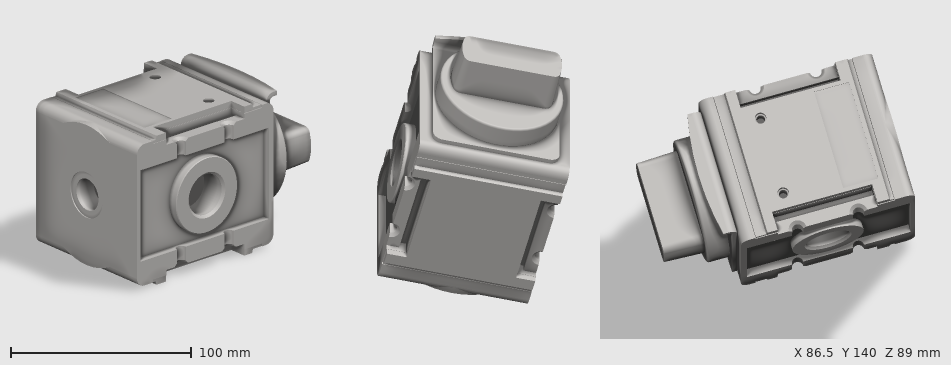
import cadquery as cq


body_width = 85.1
body_length = 100.0
body_half_height = 42.3
corner_radius = 5.3
end_disc_taper = 0.4
half_width = body_width / 2
body_mid_y = body_length / 2

plate_side_inset = 0.4
plate_width = body_width - 2 * plate_side_inset
plate_seat_z = 40.6
plate_top_z = 44.5
seat_front_y = 11.6
seat_back_y = 91.7
seat_clearance = 0.3
rail_front_y = 14.7
rail_back_y = 84.7
rail_lean = 0.7

pocket_front_y = 21.5
pocket_back_y = 78.8
pocket_depth = 11.2
pocket_floor_z = 37.4
pocket_shelf = 7.1
slot_depth = 4.2
slot_floor_z = pocket_floor_z - slot_depth
plate_notch_clearance = 0.1

recess_front_y = 2.5
recess_back_y = 96.7
recess_height = 54.6
recess_depth = 4.5
left_boss_diameter = 41.0
right_boss_diameter = 45.0
right_boss_rise = 1.4
right_boss_chamfer = 0.4
port_diameter = 24.1
port_mouth_diameter = 27.0
port_depth = 16.1

mount_hole_diameter = 6.5
mount_sink_diameter = 10.0
mount_spacing = 35.0
mount_sink_depth = (mount_sink_diameter - mount_hole_diameter) / 2

end_port_diameter = 18.6
end_recess_diameter = 27.0
end_recess_depth = 0.7
end_port_depth = 13.6

screw_diameter = 4.9
screw_sink_diameter = 6.5
screw_sink_depth = 2.4
screw_depth = 8.4
screw_spacing = 45.0
screw_y = 70.0
label_width = 58.0
label_front_y = 17.2
label_back_y = 37.4
label_depth = 0.4

bracket_width = 72.0
bracket_thickness = 2.7
bracket_back_gap = 0.4
bracket_bottom_z = -37.2
bracket_top_z = 44.2
bracket_corner_radius = 5.6
bend_outer_radius = 5.3
bend_inner_radius = bend_outer_radius - bracket_thickness
flange_side_y = 108.2
flange_middle_y = 112.1
bracket_y = body_length + bracket_back_gap

hub_diameter = 34.2
knob_diameter = 70.0
knob_start_y = 104.2
knob_end_y = 117.0
knob_front_round = 0.8
knob_back_round = 1.3
grip_end_y = 140.0
grip_flat_half = 23.5
grip_base_half_length = 29.4
grip_base_half_height = 11.6
grip_base_corner_x = 28.1
grip_base_corner_z = 7.8
grip_tip_half_length = 28.4
grip_tip_half_height = 10.6
grip_tip_corner_x = 27.3
grip_tip_corner_z = 7.3


def box(x_range, y_range, z_range):
    """Axis-aligned box from its lower and upper limits."""
    return (
        cq.Workplane("XY")
        .box(
            x_range[1] - x_range[0],
            y_range[1] - y_range[0],
            z_range[1] - z_range[0],
            centered=False,
        )
        .translate((x_range[0], y_range[0], z_range[0]))
    )


def cylinder_y(diameter, start_y, end_y):
    """Cylinder along +Y on the main axis."""
    length = end_y - start_y
    return cq.Workplane(cq.Solid.makeCylinder(
        diameter / 2, length, cq.Vector(0, start_y, 0), cq.Vector(0, 1, 0)))


def cylinder_x(diameter, start_x, length, direction):
    """Cylinder along +X or -X through the middle of the side faces."""
    return cq.Workplane(cq.Solid.makeCylinder(
        diameter / 2, length, cq.Vector(start_x, body_mid_y, 0), cq.Vector(direction, 0, 0)))


def both_halves(shape):
    """Shape together with its mirror image below the XY plane."""
    return shape.union(shape.mirror("XY"))


def both_sides(shape):
    """Shape together with its mirror image across the YZ plane."""
    return shape.union(shape.mirror("YZ"))


def make_body():
    """Rounded block with a tapered disc flush with the plain end and two plate seats."""
    full_width = (-half_width, half_width)
    block = box(full_width, (0, body_length), (-body_half_height, body_half_height))
    block = block.edges("|X").fillet(corner_radius)
    end_disc = cq.Workplane(cq.Solid.makeCone(
        body_half_height - end_disc_taper,
        body_half_height,
        corner_radius,
        cq.Vector(0, 0, 0),
        cq.Vector(0, 1, 0),
    ))
    seat = box(full_width, (seat_front_y, seat_back_y), (plate_seat_z, plate_top_z))
    return block.union(end_disc).cut(both_halves(seat))


def make_cover_plate():
    """Upper plate with a raised rail that has leaning front and back walls."""
    front_y = seat_front_y + seat_clearance
    back_y = seat_back_y - seat_clearance
    return (
        cq.Workplane("YZ")
        .moveTo(front_y, plate_seat_z)
        .lineTo(front_y, body_half_height)
        .lineTo(rail_front_y - rail_lean, body_half_height)
        .lineTo(rail_front_y, plate_top_z)
        .lineTo(rail_back_y, plate_top_z)
        .lineTo(rail_back_y + rail_lean, body_half_height)
        .lineTo(back_y, body_half_height)
        .lineTo(back_y, plate_seat_z)
        .close()
        .extrude(plate_width / 2, both=True)
    )


def make_side_pocket():
    """Pocket, slot and slightly larger plate notch at the upper edge of the -X face."""
    pocket_y = (pocket_front_y, pocket_back_y)
    inner_x = -half_width + pocket_depth
    pocket = box((-half_width, inner_x), pocket_y, (pocket_floor_z, plate_seat_z))
    slot = box((-half_width + pocket_shelf, inner_x), pocket_y, (slot_floor_z, pocket_floor_z))
    plate_notch = box(
        (-half_width, inner_x + plate_notch_clearance),
        (pocket_front_y - plate_notch_clearance, pocket_back_y + plate_notch_clearance),
        (plate_seat_z, plate_top_z),
    )
    return pocket.union(slot).union(plate_notch)


def make_mounting_holes():
    """Countersunk holes below the pocket of the -X face, reaching the recess."""
    centres = [(-half_width, body_mid_y + side * mount_spacing / 2) for side in (-1, 1)]
    holes = (
        cq.Workplane("XY")
        .pushPoints(centres)
        .circle(mount_hole_diameter / 2)
        .extrude(pocket_floor_z)
    )
    for x, y in centres:
        sink = cq.Solid.makeCone(
            mount_hole_diameter / 2,
            mount_sink_diameter / 2,
            mount_sink_depth,
            cq.Vector(x, y, pocket_floor_z - mount_sink_depth),
        )
        holes = holes.union(cq.Workplane(sink))
    return holes


def make_side_recess():
    return box(
        (-half_width, -half_width + recess_depth),
        (recess_front_y, recess_back_y),
        (-recess_height / 2, recess_height / 2),
    )


def make_port_bosses():
    left = cylinder_x(left_boss_diameter, -half_width, recess_depth, 1)
    right_length = recess_depth + right_boss_rise
    right = cylinder_x(right_boss_diameter, half_width - recess_depth, right_length, 1)
    return left.union(right.faces(">X").chamfer(right_boss_chamfer))


def make_port(face_x, direction):
    """Blind flow port with a chamfered mouth, cut inwards from a boss face."""
    mouth_depth = (port_mouth_diameter - port_diameter) / 2
    mouth = cq.Solid.makeCone(
        port_mouth_diameter / 2,
        port_diameter / 2,
        mouth_depth,
        cq.Vector(face_x, body_mid_y, 0),
        cq.Vector(direction, 0, 0),
    )
    return cylinder_x(port_diameter, face_x, port_depth, direction).union(cq.Workplane(mouth))


def make_end_port():
    shallow_recess = cylinder_y(end_recess_diameter, 0, end_recess_depth)
    return shallow_recess.union(cylinder_y(end_port_diameter, 0, end_port_depth))


def make_top_cuts():
    """Counterbored screw holes and the shallow label recess."""
    label = box(
        (-label_width / 2, label_width / 2),
        (label_front_y, label_back_y),
        (plate_top_z - label_depth, plate_top_z),
    )
    top = cq.Workplane("XY", origin=(0, 0, plate_top_z))
    centres = [(-screw_spacing / 2, screw_y), (screw_spacing / 2, screw_y)]
    sinks = top.pushPoints(centres).circle(screw_sink_diameter / 2).extrude(-screw_sink_depth)
    screws = top.pushPoints(centres).circle(screw_diameter / 2).extrude(-screw_depth)
    return label.union(sinks).union(screws)


def make_bracket():
    """Upright sheet bent backwards at the top into a flange with a bowed edge."""
    front_y = bracket_y + bracket_thickness
    bend_centre_y = bracket_y + bend_outer_radius
    bend_centre_z = bracket_top_z - bend_outer_radius
    flange_under_z = bracket_top_z - bracket_thickness
    bent_strip = (
        cq.Workplane("YZ")
        .moveTo(bracket_y, bracket_bottom_z)
        .lineTo(bracket_y, bend_centre_z)
        .radiusArc((bend_centre_y, bracket_top_z), bend_outer_radius)
        .lineTo(flange_middle_y, bracket_top_z)
        .lineTo(flange_middle_y, flange_under_z)
        .lineTo(bend_centre_y, flange_under_z)
        .radiusArc((front_y, bend_centre_z), -bend_inner_radius)
        .lineTo(front_y, bracket_bottom_z)
        .close()
        .extrude(bracket_width / 2, both=True)
    )
    bent_strip = bent_strip.edges("|Y and <Z").fillet(bracket_corner_radius)
    flange_outline = (
        cq.Workplane("XY", origin=(0, 0, bracket_bottom_z))
        .moveTo(-bracket_width / 2, bracket_y)
        .lineTo(-bracket_width / 2, flange_side_y)
        .threePointArc((0, flange_middle_y), (bracket_width / 2, flange_side_y))
        .lineTo(bracket_width / 2, bracket_y)
        .close()
        .extrude(bracket_top_z - bracket_bottom_z)
    )
    return bent_strip.intersect(flange_outline)


def grip_section(y, half_length, half_height, corner_x, corner_z):
    """Wire across the grip: flat top and bottom, rounded corners and bowed ends."""
    corner_reach = corner_x - grip_flat_half
    corner_drop = half_height - corner_z
    round_radius = (corner_reach**2 + corner_drop**2) / (2 * corner_drop)
    return (
        cq.Workplane("XZ", origin=(0, y, 0))
        .moveTo(-grip_flat_half, half_height)
        .lineTo(grip_flat_half, half_height)
        .radiusArc((corner_x, corner_z), round_radius)
        .threePointArc((half_length, 0), (corner_x, -corner_z))
        .radiusArc((grip_flat_half, -half_height), round_radius)
        .lineTo(-grip_flat_half, -half_height)
        .radiusArc((-corner_x, -corner_z), round_radius)
        .threePointArc((-half_length, 0), (-corner_x, corner_z))
        .radiusArc((-grip_flat_half, half_height), round_radius)
        .close()
        .val()
    )


def make_grip():
    """Grip that tapers slightly towards its free end."""
    base = grip_section(knob_end_y, grip_base_half_length, grip_base_half_height,
                        grip_base_corner_x, grip_base_corner_z)
    tip = grip_section(grip_end_y, grip_tip_half_length, grip_tip_half_height,
                       grip_tip_corner_x, grip_tip_corner_z)
    return cq.Workplane(cq.Solid.makeLoft([base, tip], True))


def make_handle():
    hub = cylinder_y(hub_diameter, body_length, knob_start_y)
    knob = cylinder_y(knob_diameter, knob_start_y, knob_end_y)
    knob = knob.faces("<Y").edges().fillet(knob_front_round)
    knob = knob.faces(">Y").edges().fillet(knob_back_round)
    return hub.union(knob).union(make_grip())


body = make_body().union(both_halves(make_cover_plate()))
side_cuts = both_halves(make_side_pocket().union(make_mounting_holes())).union(make_side_recess())
body = body.cut(both_sides(side_cuts)).union(make_port_bosses())
body = body.cut(make_port(-half_width, 1)).cut(make_port(half_width + right_boss_rise, -1))
body = body.cut(make_end_port()).cut(make_top_cuts())
result = body.union(make_bracket()).union(make_handle())